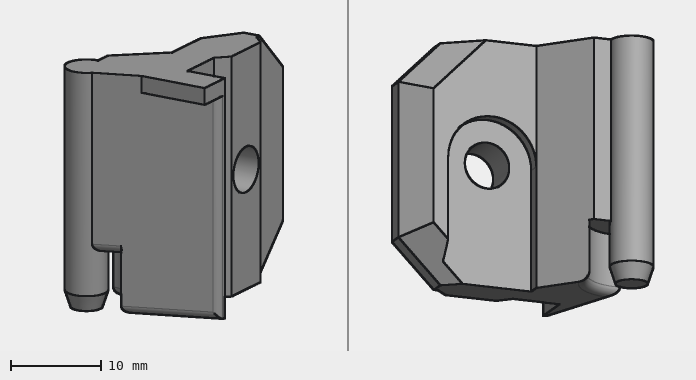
import cadquery as cq
import math

height = 28.0
width = 17.75
depth = 26.95
pin_diameter = 4.9
pin_radius = pin_diameter / 2
pin_taper_height = 1.95
pin_taper_inset = 0.65

plate_left = 5.43
plate_right = 10.42
plate_end = depth - pin_radius
corner_cut = 5.0
bevel = 3.0

web_pin_y = 4.5

flange_end = width - pin_radius
flange_back = 4.45
tab_front = 0.22
tab_left = 7.03
tab_height = 1.95
front_angle = math.radians(20)

hole_y = 14.48
hole_z = height / 2
hole_diameter = 5.3
recess_radius = 5.25
recess_depth = 1.55
rib_depth = 1.4
rib_base_half = 4.45
rib_top_half = rib_base_half - rib_depth

clearance_radius = pin_diameter
clearance_height = 7.0
edge_round = 1.0


def front_y(x):
    """Y of the sloped front face at a given X."""
    return tab_front + (x - tab_left) * math.tan(front_angle)


def make_body():
    """Plate, web, rib and flange as one upright profile, with the plate end bevelled."""
    web_front_x = pin_radius / 3
    outline = [
        (0, 0),
        (web_front_x, front_y(web_front_x)),
        (flange_end, front_y(flange_end)),
        (flange_end, flange_back),
        (plate_right, flange_back),
        (plate_right, hole_y - rib_base_half),
        (plate_right + rib_depth, hole_y - rib_top_half),
        (plate_right + rib_depth, hole_y + rib_top_half),
        (plate_right, hole_y + rib_base_half),
        (plate_right, plate_end),
        (plate_left, plate_end),
        (plate_left, hole_y - recess_radius),
        (0, web_pin_y),
    ]
    body = cq.Workplane("XY").polyline(outline).close().extrude(height)
    body = body.faces(">Y").edges("|X").chamfer(corner_cut)
    margin = 0.28
    bevel_start = plate_end - corner_cut - margin
    end_edges = cq.selectors.BoxSelector(
        (plate_left - margin, bevel_start, -margin),
        (plate_left + margin, plate_end + margin, height + margin),
    )
    return body.edges(end_edges).chamfer(bevel)


def cut_screw_seat(body):
    """Round-topped recess open at the bottom, and the through hole."""
    floor_x = plate_left + recess_depth
    seat_plane = cq.Workplane("YZ")
    arch = seat_plane.center(hole_y, hole_z).circle(recess_radius).extrude(floor_x)
    channel = (
        seat_plane.center(hole_y, hole_z / 2).rect(2 * recess_radius, hole_z).extrude(floor_x)
    )
    hole = seat_plane.center(hole_y, hole_z).circle(hole_diameter / 2).extrude(flange_end)
    return body.cut(arch.union(channel)).cut(hole)


def cut_clearance(body):
    """Free the lower end of the pin and round the edges around the opening."""
    body = body.cut(cq.Workplane("XY").circle(clearance_radius).extrude(clearance_height))
    slope_mid_x = (clearance_radius + flange_end) / 2
    ceiling_mid_x = clearance_radius / 2
    rounded_edges = (
        body.edges(cq.selectors.NearestToPointSelector((slope_mid_x, front_y(slope_mid_x), 0)))
        .add(body.edges(cq.selectors.NearestToPointSelector(
            (flange_end, front_y(flange_end), height / 2))))
        .add(body.faces("<Z").edges("%CIRCLE"))
        .add(body.edges(cq.selectors.NearestToPointSelector(
            (ceiling_mid_x, front_y(ceiling_mid_x), clearance_height))))
    )
    return rounded_edges.fillet(edge_round)


def make_pin():
    """Full-height pin tapered at its lower end."""
    return (
        cq.Workplane("XY")
        .circle(pin_radius)
        .extrude(height)
        .faces("<Z")
        .chamfer(pin_taper_height, pin_taper_inset)
    )


def make_tab():
    """Square tab overhanging the sloped face at the top of the flange."""
    return cq.Workplane("XY").box(
        flange_end - tab_left, flange_back - tab_front, tab_height, centered=False
    ).translate((tab_left, tab_front, height - tab_height))


body = cut_clearance(cut_screw_seat(make_body()))
result = body.union(make_pin()).union(make_tab())